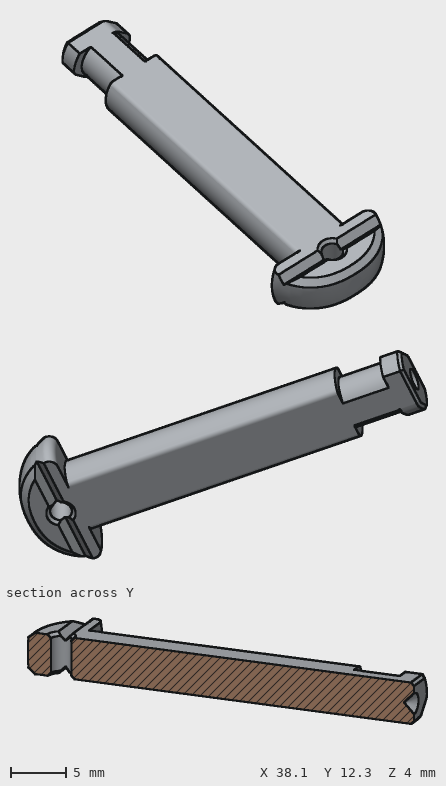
import cadquery as cq
import math

LENGTH = 38.12
WIDTH = 12.25
THICKNESS = 4.0
HALF_THICKNESS = THICKNESS / 2

SHANK_DIAMETER = 6.6
SHANK_RADIUS = SHANK_DIAMETER / 2
SHANK_EDGE_FILLET = 0.5

TIP_LENGTH = 2.0
NECK_END = 6.48
NECK_RADIUS = 2.4
TIP_CORNER_DISTANCE = 2.6
TIP_CORNER_FILLET = 1.0
TIP_END_CHAMFER = 0.3
CENTER_HOLE_DIAMETER = 2.0
CENTER_HOLE_ANGLE = 90.0

HEAD_START = 33.1
HEAD_RADIUS = WIDTH / 2
HEAD_BACK_FILLET = 0.8
DOME_RADIUS = 5.37
DOME_CHAMFER = 0.57

GROOVE_CENTER = 34.85
GROOVE_HALF_WIDTH = 0.72
GROOVE_DEPTH = 0.75
PIN_HOLE_DIAMETER = 2.0
COUNTERSINK_DIAMETER = 2.65


def slab(start, end):
    """Block as thick as the part and wider than it, from X = start to X = end."""
    block = cq.Workplane("XY").box(end - start, 2 * WIDTH, THICKNESS)
    return block.translate(((start + end) / 2, 0, 0))


def flat_bar(radius, start, end):
    """Round bar along X with flat top and bottom faces."""
    bar = cq.Workplane("YZ").workplane(offset=start).circle(radius).extrude(end - start)
    return bar.intersect(slab(start, end))


def make_tip():
    """Flattened bar with two opposite corners cut at 45 degrees and rounded."""
    tip = flat_bar(SHANK_RADIUS, 0, TIP_LENGTH)
    cutter_size = SHANK_DIAMETER
    cutter = cq.Workplane("XY").box(4 * TIP_LENGTH, cutter_size, cutter_size)
    cutter = cutter.translate((0, TIP_CORNER_DISTANCE + cutter_size / 2, 0))
    for angle in (45, 225):
        tip = tip.cut(cutter.rotate((0, 0, 0), (1, 0, 0), angle))
    cut_corners = tip.edges("|X").filter(lambda edge: edge.Center().y * edge.Center().z > 0)
    tip = cut_corners.fillet(TIP_CORNER_FILLET)
    tip = tip.faces("<X").chamfer(TIP_END_CHAMFER)

    hole_radius = CENTER_HOLE_DIAMETER / 2
    hole_depth = hole_radius / math.tan(math.radians(CENTER_HOLE_ANGLE / 2))
    cone = cq.Solid.makeCone(hole_radius, 0, hole_depth, cq.Vector(0, 0, 0), cq.Vector(1, 0, 0))
    return tip.cut(cq.Workplane(cone))


def make_shank():
    """Main bar, reaching into the head, with rounded long edges."""
    return flat_bar(SHANK_RADIUS, NECK_END, GROOVE_CENTER).edges("|X").fillet(SHANK_EDGE_FILLET)


def make_head():
    """Domed head with a rounded back rim and a chamfer around the dome."""
    fillet_x = HEAD_START + HEAD_BACK_FILLET
    fillet_y = HEAD_RADIUS - HEAD_BACK_FILLET
    dome_x = LENGTH - DOME_RADIUS
    rim_angle = math.acos((fillet_x - dome_x) / (DOME_RADIUS - HEAD_BACK_FILLET))
    nose_radius = fillet_y - (DOME_RADIUS - HEAD_BACK_FILLET) * math.sin(rim_angle)

    def dome_point(angle):
        return (dome_x + DOME_RADIUS * math.cos(angle), nose_radius + DOME_RADIUS * math.sin(angle))

    body = (
        cq.Workplane("XY")
        .moveTo(HEAD_START, 0)
        .lineTo(HEAD_START, fillet_y)
        .threePointArc((fillet_x, HEAD_RADIUS), dome_point(rim_angle))
        .threePointArc(dome_point(rim_angle / 2), (LENGTH, nose_radius))
        .lineTo(LENGTH, 0)
        .close()
        .revolve(360, (0, 0, 0), (1, 0, 0))
    )
    back = body.intersect(slab(HEAD_START, GROOVE_CENTER))
    front = body.intersect(slab(GROOVE_CENTER, LENGTH))
    front = front.faces("|Z").edges("not <X").chamfer(DOME_CHAMFER)
    return back.union(front)


def make_groove(side):
    """V-shaped cutter across the top (side = 1) or bottom (side = -1) of the head."""
    surface = side * HALF_THICKNESS
    return (
        cq.Workplane("XZ")
        .moveTo(GROOVE_CENTER - GROOVE_HALF_WIDTH, surface)
        .lineTo(GROOVE_CENTER, surface - side * GROOVE_DEPTH)
        .lineTo(GROOVE_CENTER + GROOVE_HALF_WIDTH, surface)
        .close()
        .extrude(WIDTH, both=True)
    )


def make_pin_hole():
    """Through-hole cutter at the groove, countersunk 45 degrees at both faces."""
    hole_radius = PIN_HOLE_DIAMETER / 2
    sink_radius = COUNTERSINK_DIAMETER / 2
    sink_floor = HALF_THICKNESS - (sink_radius - hole_radius)
    return (
        cq.Workplane("XZ")
        .polyline(
            [
                (0, -HALF_THICKNESS),
                (sink_radius, -HALF_THICKNESS),
                (hole_radius, -sink_floor),
                (hole_radius, sink_floor),
                (sink_radius, HALF_THICKNESS),
                (0, HALF_THICKNESS),
            ]
        )
        .close()
        .revolve(360, (0, 0, 0), (0, 1, 0))
        .translate((GROOVE_CENTER, 0, 0))
    )


neck = flat_bar(NECK_RADIUS, TIP_LENGTH, NECK_END)
result = make_tip().union(neck).union(make_shank()).union(make_head())
for side in (1, -1):
    result = result.cut(make_groove(side))
result = result.cut(make_pin_hole())